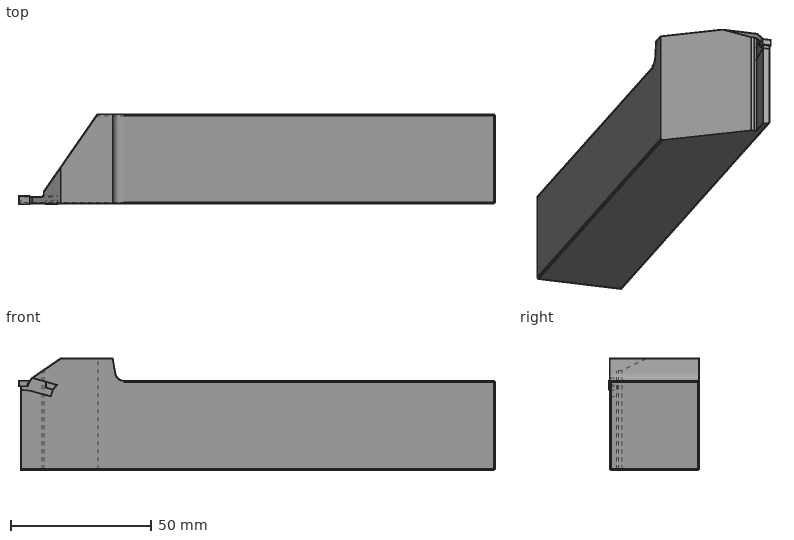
import cadquery as cq
import math

total_length = 170.0
shank_size = 32.0
shank_start = 0.7
edge_chamfer = 0.5

head_height = 40.0
head_front_x = 15.0
head_rear_x = 33.5
shoulder_angle = 10.0
shoulder_radius = 3.0
shoulder_foot_x = head_rear_x + (head_height - shank_size) * math.tan(math.radians(shoulder_angle))
chamfer_start_x = 37.5

blade_thickness = 2.4
blade_end_x = 8.2
relief_step_x = 8.8
relief_step_low_y = 3.0
relief_step_high_y = 4.2
relief_end_x = 28.0

insert_front_overhang = 0.25
cutting_head_width = 3.0
cutting_head_bevel = 0.24
clamp_tip = (4.8, 33.0)
insert_rear_top = (13.6, 30.5)
insert_rear_waist = (12.0, 28.7)
insert_rear_bottom = (11.4, 26.4)
insert_bottom_bend = (3.9, 28.4)
insert_bottom_z = 28.7
cutting_head_length = 3.9
cutting_head_base_length = 3.0
cutting_head_bottom_z = 30.0
rear_head_inner_top = (9.5, 31.6)
rear_head_inner_bottom = (9.5, 29.5)


def extrude_side_profile(points, start_y, width):
    """Extrude a closed XZ outline from start_y toward +Y."""
    return cq.Workplane("XZ", origin=(0, start_y, 0)).polyline(points).close().extrude(-width)


def make_holder_blank():
    side_profile = [
        (shank_start, 0),
        (total_length, 0),
        (total_length, shank_size),
        (shoulder_foot_x, shank_size),
        (head_rear_x, head_height),
        (head_front_x, head_height),
        clamp_tip,
        insert_bottom_bend,
        (shank_start, insert_bottom_z),
    ]
    blank = extrude_side_profile(side_profile, 0, shank_size)
    shoulder_corner = cq.selectors.BoxSelector(
        (shoulder_foot_x - edge_chamfer, -1.7, shank_size - edge_chamfer),
        (shoulder_foot_x + edge_chamfer, shank_size + 1.7, shank_size + edge_chamfer),
    )
    blank = blank.edges(shoulder_corner).fillet(shoulder_radius)
    return blank.intersect(make_shank_envelope().union(make_head_envelope()))


def make_shank_envelope():
    """Square bar with chamfered long edges and rear end, behind the shoulder."""
    length = total_length - chamfer_start_x
    bar = cq.Workplane("XY").box(length, shank_size, shank_size, centered=False)
    bar = bar.edges("|X or >X").chamfer(edge_chamfer)
    return bar.translate((chamfer_start_x, 0, 0))


def make_head_envelope():
    """Full-height block ahead of the chamfered bar, with its lower long edges chamfered."""
    block = cq.Workplane("XY").box(chamfer_start_x, shank_size, head_height, centered=False)
    return block.edges("|X and <Z").chamfer(edge_chamfer)


def cut_blade_relief(blank):
    """Remove the back of the nose, leaving the blade and the slanted flank."""
    relief = (
        cq.Workplane("XY")
        .polyline([
            (0, blade_thickness),
            (blade_end_x, blade_thickness),
            (relief_step_x, relief_step_low_y),
            (relief_step_x, relief_step_high_y),
            (relief_end_x, shank_size),
            (0, shank_size),
        ])
        .close()
        .extrude(head_height)
    )
    return blank.cut(relief)


def make_insert():
    middle = extrude_side_profile(
        [
            (shank_start, insert_bottom_z),
            insert_bottom_bend,
            insert_rear_bottom,
            insert_rear_waist,
            insert_rear_top,
            clamp_tip,
            (cutting_head_length, shank_size),
            (shank_start, shank_size),
        ],
        0,
        blade_thickness,
    )
    front_head = extrude_side_profile(
        [
            (0, shank_size),
            (cutting_head_length, shank_size),
            (cutting_head_base_length, cutting_head_bottom_z),
            (0, cutting_head_bottom_z),
        ],
        -insert_front_overhang,
        cutting_head_width,
    )
    rear_head = extrude_side_profile(
        [rear_head_inner_top, insert_rear_top, insert_rear_waist, rear_head_inner_bottom],
        -insert_front_overhang,
        cutting_head_width,
    )
    front_head = front_head.faces("<Y").edges(">X").chamfer(cutting_head_bevel)
    rear_head = rear_head.faces("<Y").edges("<X").chamfer(cutting_head_bevel)
    return middle.union(front_head).union(rear_head)


insert = make_insert()
holder = cut_blade_relief(make_holder_blank()).cut(insert)

result = cq.Compound.makeCompound([holder.val(), insert.val()])